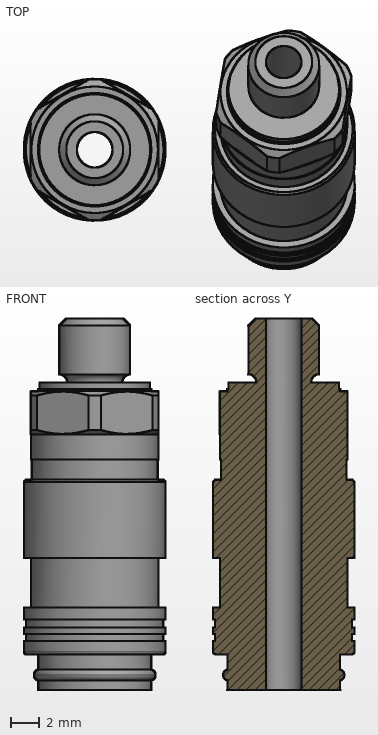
import cadquery as cq
import math

total_height = 26.2
bore_diameter = 2.5
collar_radius = 10.0 / 2
body_radius = 9.0 / 2

nose_radius = 8.0 / 2
ring_middle = 1.07
ring_section_radius = 0.4
ring_center_radius = 3.9

grip_bottom = 2.52
grip_top = 5.85
grip_bottom_round = 0.2
groove_radius = 9.7 / 2
groove_spans = [(3.48, 3.95), (4.43, 4.98)]

sleeve_bottom = 9.3
sleeve_top = 14.83
sleeve_chamfer = 0.15
recess_radius = 8.9 / 2
recess_top = 16.25

hex_bottom = 18.03
hex_top = 21.06
hex_across_flats = body_radius * 2
hex_corner_radius = 9.93 / 2
hex_end_radius = 8.9 / 2
hex_chamfer_angle = 30.0

seat_radius = 7.8 / 2
seat_step_radius = nose_radius
seat_step_top = 21.22
seat_top = 21.7
stub_radius = 5.0 / 2
stub_bottom = 22.25
stub_chamfer = 0.5
neck_fillet = stub_bottom - seat_top
neck_radius = stub_radius - neck_fillet


def cylinder(radius, bottom, top):
    """Solid cylinder on the Z axis between two heights."""
    return cq.Workplane("XY").workplane(offset=bottom).circle(radius).extrude(top - bottom)


def make_lower_body():
    """Nose, grip, sleeve and recess, up to the underside of the hexagon."""
    nose = cylinder(nose_radius, 0, grip_bottom)
    grip = cylinder(collar_radius, grip_bottom, grip_top).faces("<Z").edges().fillet(grip_bottom_round)
    for bottom, top in groove_spans:
        groove = cylinder(collar_radius + 0.25, bottom, top).cut(cylinder(groove_radius, bottom, top))
        grip = grip.cut(groove)
    waist = cylinder(body_radius, grip_top, sleeve_bottom)
    sleeve = cylinder(collar_radius, sleeve_bottom, sleeve_top)
    sleeve = sleeve.faces(">Z").edges().chamfer(sleeve_chamfer)
    recess = cylinder(recess_radius, sleeve_top, recess_top)
    shoulder = cylinder(body_radius, recess_top, hex_bottom)
    return nose.union(grip).union(waist).union(sleeve).union(recess).union(shoulder)


def make_ring():
    """Round-section sealing ring, half buried in the nose."""
    return (
        cq.Workplane("XZ")
        .center(ring_center_radius, ring_middle)
        .circle(ring_section_radius)
        .revolve(360, (-ring_center_radius, 0, 0), (-ring_center_radius, 1, 0))
    )


def make_hexagon():
    """Hexagonal prism trimmed by a cylinder with coned ends."""
    height = hex_top - hex_bottom
    cone_width = hex_corner_radius - hex_end_radius
    cone_height = cone_width * math.tan(math.radians(hex_chamfer_angle))
    envelope = (
        cq.Workplane("XZ")
        .moveTo(0, hex_bottom)
        .lineTo(hex_end_radius, hex_bottom)
        .lineTo(hex_corner_radius, hex_bottom + cone_height)
        .lineTo(hex_corner_radius, hex_top - cone_height)
        .lineTo(hex_end_radius, hex_top)
        .lineTo(0, hex_top)
        .close()
        .revolve(360, (0, 0, 0), (0, 1, 0))
    )
    prism = (
        cq.Workplane("XY")
        .workplane(offset=hex_bottom)
        .polygon(6, hex_across_flats, circumscribed=True)
        .extrude(height)
    )
    return prism.intersect(envelope)


def make_stub():
    """Stepped seat, neck flaring up in a quarter arc and chamfered stub."""
    seat_step = cylinder(seat_step_radius, hex_top, seat_step_top)
    seat = cylinder(seat_radius, seat_step_top, seat_top)
    fillet_diagonal = neck_fillet * (1 - math.sqrt(0.5))
    stub = (
        cq.Workplane("XZ")
        .moveTo(0, seat_top)
        .lineTo(neck_radius, seat_top)
        .threePointArc(
            (neck_radius + fillet_diagonal, stub_bottom - fillet_diagonal),
            (stub_radius, stub_bottom),
        )
        .lineTo(stub_radius, total_height - stub_chamfer)
        .lineTo(stub_radius - stub_chamfer, total_height)
        .lineTo(0, total_height)
        .close()
        .revolve(360, (0, 0, 0), (0, 1, 0))
    )
    return seat_step.union(seat).union(stub)


body = make_lower_body().union(make_ring()).union(make_hexagon()).union(make_stub())

result = body.cut(cylinder(bore_diameter / 2, 0, total_height))